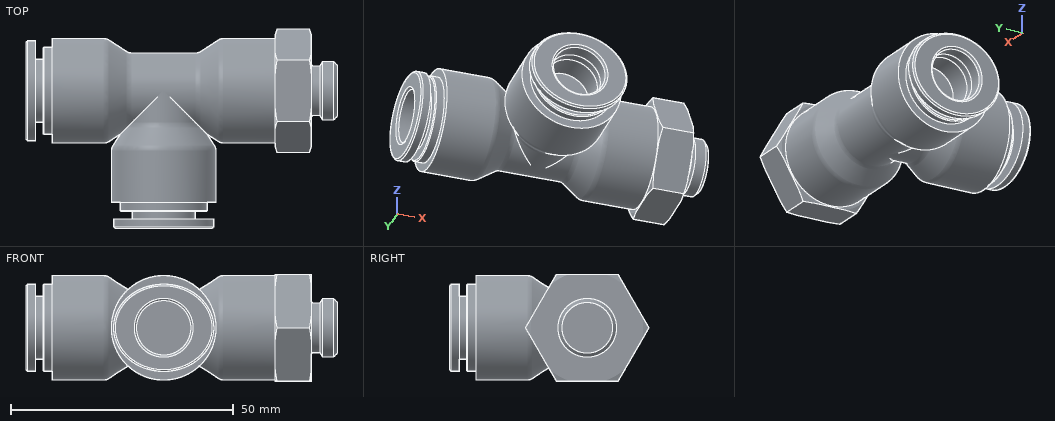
import cadquery as cq
import math


socket_diameter = 23.5
waist_diameter = 17.0
waist_end = 7.8
cone_end = 12.8
blend_radius = 2.0
arm_length = 25.0

port_length = 30.9
collar_diameter = 19.6
collar_thickness = 2.1
collar_chamfer = 0.25
button_neck_diameter = 14.2
bore_diameter = 12.2
mouth_chamfer = 0.5
flange_width = 22.5
flange_height = 19.6
flange_thickness = 2.2
flange_chamfer = 0.4
bore_depth = 12.0

hex_across_flats = 24.0
hex_thickness = 8.1
hex_chamfer_diameter = 25.2
hex_chamfer_angle = 18.0
relief_diameter = 11.2
relief_length = 1.95
relief_fillet = 0.4
thread_diameter = 13.16
stud_end = 39.0
thread_start_angle = 30.0
thread_end_chamfer = 0.9

bore_floor = port_length - bore_depth
collar_end = arm_length + collar_thickness


def cylinder(start, end, diameter):
    """Solid cylinder on the +X axis between two distances from the origin."""
    return cq.Workplane("YZ", origin=(start, 0, 0)).circle(diameter / 2).extrude(end - start)


def port_copies(shape):
    """The two port positions of a shape built on the +X axis: the -X arm and the -Y arm."""
    return [shape.rotate((0, 0, 0), (0, 0, 1), angle) for angle in (180, -90)]


def make_arm():
    """Waist, cone and socket of one arm, with blended corners."""
    waist_radius = waist_diameter / 2
    socket_radius = socket_diameter / 2
    arm = (
        cq.Workplane("XY")
        .polyline([
            (0, 0),
            (0, waist_radius),
            (waist_end, waist_radius),
            (cone_end, socket_radius),
            (arm_length, socket_radius),
            (arm_length, 0),
        ])
        .close()
        .revolve(360, (0, 0, 0), (1, 0, 0))
    )
    return arm.edges("%CIRCLE and (not <X) and (not >X)").fillet(blend_radius)


def make_tee_body():
    """Three arms joined at the origin, with a blind tube bore in both ports."""
    arm = make_arm()
    body = arm
    for port_arm in port_copies(arm):
        body = body.union(port_arm)
    for bore in port_copies(cylinder(bore_floor, arm_length, bore_diameter)):
        body = body.cut(bore)
    return body


def make_collar():
    """Ring on the socket face with a chamfered outer rim."""
    return (
        cylinder(arm_length, collar_end, collar_diameter)
        .faces(">X").edges().chamfer(collar_chamfer)
        .cut(cylinder(arm_length, collar_end, bore_diameter))
    )


def make_release_button():
    """Short neck with an oval flange and a chamfered through bore."""
    flange_start = port_length - flange_thickness
    flange = (
        cq.Workplane("YZ", origin=(flange_start, 0, 0))
        .ellipse(flange_width / 2, flange_height / 2)
        .extrude(flange_thickness)
        .faces(">X").edges().chamfer(flange_chamfer)
    )
    return (
        cylinder(collar_end, flange_start, button_neck_diameter)
        .union(flange)
        .cut(cylinder(collar_end, port_length, bore_diameter))
        .faces(">X").edges("%CIRCLE").chamfer(mouth_chamfer)
    )


def make_hex_stud():
    """Hexagon with chamfered corners, thread relief and threaded end."""
    hex_end = arm_length + hex_thickness
    thread_start = hex_end + relief_length
    corner_diameter = hex_across_flats / math.cos(math.radians(30))
    chamfer_width = (corner_diameter - hex_chamfer_diameter) / 2
    chamfer_depth = chamfer_width * math.tan(math.radians(hex_chamfer_angle))
    corner_cutter = (
        cylinder(arm_length, hex_end, corner_diameter)
        .edges().chamfer(chamfer_depth, chamfer_width)
    )
    hexagon = (
        cq.Workplane("YZ", origin=(arm_length, 0, 0))
        .polygon(6, corner_diameter)
        .extrude(hex_thickness)
        .intersect(corner_cutter)
    )
    lead_in_height = (thread_diameter - relief_diameter) / 2
    lead_in_length = lead_in_height * math.tan(math.radians(thread_start_angle))
    thread = (
        cylinder(thread_start, stud_end, thread_diameter)
        .faces("<X").edges().chamfer(lead_in_length, lead_in_height)
        .faces(">X").edges().chamfer(thread_end_chamfer)
    )
    relief_root = cq.selectors.RadiusNthSelector(0)
    return (
        hexagon
        .union(cylinder(hex_end, thread_start, relief_diameter))
        .edges("%CIRCLE and (not >X)").edges(relief_root)
        .fillet(relief_fillet)
        .union(thread)
    )


tee_body = make_tee_body()
hex_stud = make_hex_stud()
collars = port_copies(make_collar())
release_buttons = port_copies(make_release_button())

result = cq.Compound.makeCompound([
    tee_body.val(),
    hex_stud.val(),
    *[collar.val() for collar in collars],
    *[button.val() for button in release_buttons],
])